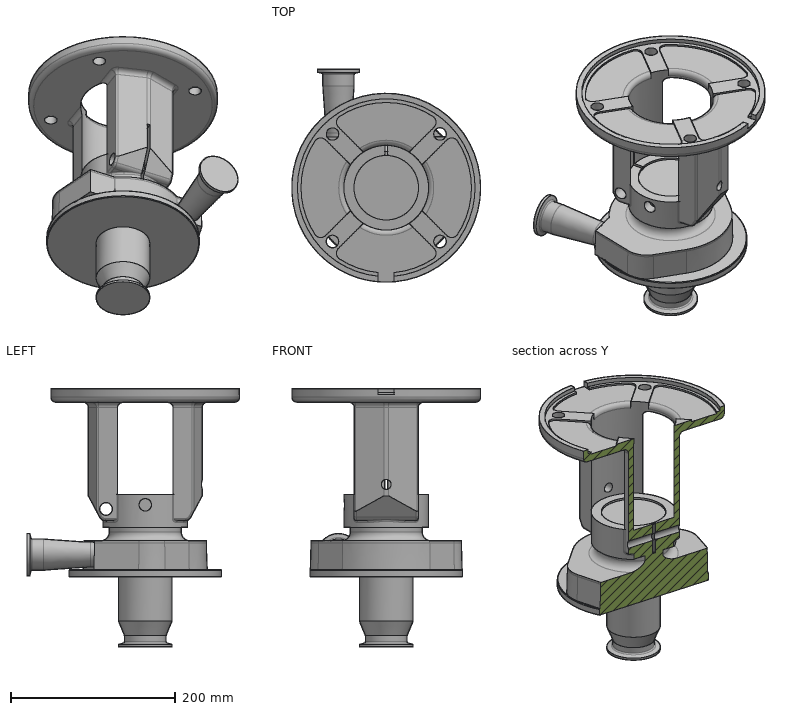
import cadquery as cq
import math

MARGIN = 0.15

TOTAL_HEIGHT = 314.0
INLET_CONE_TOP = 31.0
INLET_CONE_BOTTOM = 13.5
BACKPLATE_BOTTOM = 84.8
VOLUTE_BOTTOM = 94.0
VOLUTE_TOP = 129.0
COLLAR_BOTTOM = 145.5
LEG_BOTTOM = 153.5
COLLAR_TOP = 185.3
FLANGE_THICKNESS = 16.5
FLANGE_BOTTOM = TOTAL_HEIGHT - FLANGE_THICKNESS

FLANGE_RADIUS = 115.0
FLANGE_EDGE_ROUND = 6.3
BORE_RADIUS = 51.5
LIP_INNER_RADIUS = 108.0
LIP_HEIGHT = 5.0
POCKET_DEPTH = 2.2
POCKET_OUTER_RADIUS = 103.5
POCKET_CORNER_RADIUS = 8.5
POCKET_BORE_ROUND = 6.3
SPOKE_WIDTH = 22.0
BOLT_HOLE_RADIUS = 7.5
BOLT_CIRCLE_RADIUS = 92.3
SPOKE_ANGLES = (45, 135, 225, 315)
NOTCH_WIDTH = 19.5
NOTCH_LENGTH = 15.7

LEG_HALF_WIDTH = 39.0
LEG_SHOULDER_Y = 58.7
LEG_RIDGE_Y = 69.5
LEG_RIDGE_WIDTH = 5.3
LEG_BEVEL_TOP = 183.7
LEG_BEVEL_BOTTOM_Y = 53.5
LEG_EDGE_ROUND = 2.5
LEG_TOE_ROUND = 8.0
LEG_FLANGE_FILLET = 6.3
LEG_COLLAR_FILLET = 2.5

PLUG_RADIUS = 39.2
PLUG_RECESS = 2.5
SLIT_WIDTH = 3.5
SLIT_TOP = 219.8
CLAMP_HOLE_RADIUS = 7.5
CLAMP_HOLE_Y = 47.7
CLAMP_HOLE_Z = 167.7
COLLAR_HOLE_Z = 172.7
LEG_HOLE_RADIUS = 6.0
LEG_HOLE_Z = 197.5

BACKPLATE_RADIUS = 93.0
BACKPLATE_EDGE_CHAMFER = 1.0
VOLUTE_RADIUS = 75.7
VOLUTE_DRAFT = 1.5
VOLUTE_RIM = 2.5
DIAGONAL_LENGTH = 41.5
LOBE_RADIUS = 33.0
LOBE_SIDE_TILT = 15.6
VOLUTE_BACK_Y = 62.5
CASING_NECK_RADIUS = 44.0
CASING_NECK_FILLET = 10.5

FERRULE_ROOT_ROUND = 1.5
INLET_RADIUS = 32.5
INLET_SMALL_RADIUS = 25.5
INLET_RIM_RADIUS = 32.5
INLET_RIM = 2.8
INLET_FERRULE_LENGTH = 6.3
OUTLET_X = -58.0
OUTLET_Z = 112.0
OUTLET_END_Y = 144.0
OUTLET_RADIUS = 19.0
OUTLET_SMALL_RADIUS = 15.0
OUTLET_RIM_RADIUS = 25.7
OUTLET_RIM = 3.8
OUTLET_FERRULE_LENGTH = 6.5
OUTLET_STRAIGHT_LENGTH = 20.5
OUTLET_CONE_LENGTH = 57.0
OUTLET_ROOT_Y = 37.7


def cylinder(radius, bottom, top):
    return cq.Workplane("XY").workplane(offset=bottom).circle(radius).extrude(top - bottom)


def cross_hole(plane, radius, across, height, start, length):
    """Horizontal hole that starts at a given offset of the plane."""
    return cq.Workplane(plane).workplane(offset=start).center(across, height).circle(radius).extrude(length)


def make_leg():
    """Front leg: ridged outer side, beveled foot, still solid inside the bore."""
    half_ridge = LEG_RIDGE_WIDTH / 2
    leg = (
        cq.Workplane("XY").workplane(offset=LEG_BOTTOM)
        .polyline([
            (-LEG_HALF_WIDTH, 0), (-LEG_HALF_WIDTH, -LEG_SHOULDER_Y), (-half_ridge, -LEG_RIDGE_Y),
            (half_ridge, -LEG_RIDGE_Y), (LEG_HALF_WIDTH, -LEG_SHOULDER_Y), (LEG_HALF_WIDTH, 0),
        ])
        .close()
        .extrude(FLANGE_BOTTOM - LEG_BOTTOM)
    )
    bevel = (
        cq.Workplane("YZ")
        .polyline([
            (-LEG_RIDGE_Y, LEG_BEVEL_TOP), (-LEG_BEVEL_BOTTOM_Y, LEG_BOTTOM), (-LEG_RIDGE_Y, LEG_BOTTOM),
        ])
        .close()
        .extrude(LEG_HALF_WIDTH, both=True)
    )
    leg = leg.cut(bevel)
    toe_zone = cq.selectors.BoxSelector(
        (-MARGIN, -LEG_BEVEL_BOTTOM_Y - MARGIN, LEG_BOTTOM - MARGIN),
        (MARGIN, -LEG_BEVEL_BOTTOM_Y + MARGIN, LEG_BOTTOM + MARGIN),
    )
    leg = leg.edges("|X").edges(toe_zone).fillet(LEG_TOE_ROUND)
    for side in ("<X", ">X"):
        leg = leg.faces(side).edges("not(>Y or >Z)").fillet(LEG_EDGE_ROUND)
    return leg


def make_pockets():
    """Four shallow pockets between the spokes, rounded over into the bore."""
    land = TOTAL_HEIGHT - LIP_HEIGHT
    floor = land - POCKET_DEPTH
    round_start = BORE_RADIUS + POCKET_BORE_ROUND
    ring = cylinder(POCKET_OUTER_RADIUS, floor, land).cut(cylinder(BORE_RADIUS, floor, land))
    roundover = (
        cq.Workplane("XZ")
        .moveTo(round_start, floor)
        .lineTo(BORE_RADIUS, floor)
        .lineTo(BORE_RADIUS, floor - POCKET_BORE_ROUND)
        .radiusArc((round_start, floor), POCKET_BORE_ROUND)
        .close()
        .revolve(360, (0, 0, 0), (0, 1, 0))
    )
    spokes = cq.Workplane("XY")
    for angle in SPOKE_ANGLES[:2]:
        spoke = (
            cq.Workplane("XY").workplane(offset=FLANGE_BOTTOM)
            .rect(2 * FLANGE_RADIUS, SPOKE_WIDTH)
            .extrude(FLANGE_THICKNESS)
            .rotate((0, 0, 0), (0, 0, 1), angle)
        )
        spokes = spokes.add(spoke)
    spokes = spokes.combine()
    middle_radius = (BORE_RADIUS + POCKET_OUTER_RADIUS) / 2
    pockets = ring.cut(spokes)
    corner_edges = [
        edge for edge in pockets.edges("|Z").vals()
        if math.hypot(edge.Center().x, edge.Center().y) > middle_radius
    ]
    pockets = pockets.newObject(corner_edges).fillet(POCKET_CORNER_RADIUS)
    return pockets.union(roundover.cut(spokes))


def is_collar_joint(edge):
    """True for an edge that lies on the collar's outer wall where a leg meets it."""
    height = edge.Center().z
    if not LEG_BOTTOM - MARGIN < height < COLLAR_TOP - MARGIN:
        return False
    points = edge.positions([0, 0.25, 0.5, 0.75, 1])
    on_wall = all(abs(math.hypot(point.x, point.y) - BORE_RADIUS) < MARGIN for point in points)
    return on_wall and all(abs(point.x) < LEG_HALF_WIDTH + MARGIN for point in points)


def make_adapter():
    """Top flange, two legs and the clamp collar that joins them."""
    land = TOTAL_HEIGHT - LIP_HEIGHT
    flange = cylinder(FLANGE_RADIUS, FLANGE_BOTTOM, TOTAL_HEIGHT)
    flange = flange.faces("<Z").edges().fillet(FLANGE_EDGE_ROUND)
    front_leg = make_leg()
    legs = front_leg.union(front_leg.mirror("XZ"))
    legs = legs.cut(cylinder(BORE_RADIUS, LEG_BOTTOM, FLANGE_BOTTOM))
    adapter = flange.cut(cylinder(BORE_RADIUS, FLANGE_BOTTOM, TOTAL_HEIGHT)).union(legs)

    junction = cq.selectors.BoxSelector(
        (-LEG_HALF_WIDTH - MARGIN, -LEG_RIDGE_Y - MARGIN, FLANGE_BOTTOM - MARGIN),
        (LEG_HALF_WIDTH + MARGIN, LEG_RIDGE_Y + MARGIN, FLANGE_BOTTOM + MARGIN),
    )
    adapter = adapter.edges(junction).edges("not %CIRCLE").fillet(LEG_FLANGE_FILLET)
    adapter = adapter.union(cylinder(BORE_RADIUS, COLLAR_BOTTOM, COLLAR_TOP))
    collar_joints = [edge for edge in adapter.edges().vals() if is_collar_joint(edge)]
    adapter = adapter.newObject(collar_joints).fillet(LEG_COLLAR_FILLET)

    adapter = adapter.cut(cylinder(LIP_INNER_RADIUS, land, TOTAL_HEIGHT)).cut(make_pockets())
    notch = cq.Workplane("XY").box(
        NOTCH_WIDTH, NOTCH_LENGTH, LIP_HEIGHT + POCKET_DEPTH, centered=(True, False, False)
    )
    adapter = adapter.cut(notch.translate((0, -FLANGE_RADIUS, land - POCKET_DEPTH)))
    bolt_holes = (
        cq.Workplane("XY").workplane(offset=FLANGE_BOTTOM)
        .polarArray(BOLT_CIRCLE_RADIUS, SPOKE_ANGLES[0], 360, len(SPOKE_ANGLES))
        .circle(BOLT_HOLE_RADIUS)
        .extrude(FLANGE_THICKNESS)
    )
    return adapter.cut(bolt_holes)


def make_clamp_cuts():
    """Collar recess, slit through the rear leg and the horizontal holes."""
    cuts = cylinder(PLUG_RADIUS, COLLAR_TOP - PLUG_RECESS, COLLAR_TOP)
    slit = cq.Workplane("XY").box(
        SLIT_WIDTH, LEG_RIDGE_Y - PLUG_RADIUS, SLIT_TOP - COLLAR_BOTTOM, centered=(True, False, False)
    )
    cuts = cuts.union(slit.translate((0, PLUG_RADIUS, COLLAR_BOTTOM)))
    cuts = cuts.union(cross_hole(
        "YZ", CLAMP_HOLE_RADIUS, CLAMP_HOLE_Y, CLAMP_HOLE_Z, -LEG_HALF_WIDTH, 2 * LEG_HALF_WIDTH
    ))
    cuts = cuts.union(cross_hole(
        "YZ", CLAMP_HOLE_RADIUS, 0, COLLAR_HOLE_Z, -BORE_RADIUS, BORE_RADIUS - PLUG_RADIUS
    ))
    return cuts.union(cross_hole("XZ", LEG_HOLE_RADIUS, 0, LEG_HOLE_Z, 0, LEG_RIDGE_Y))


def make_volute():
    """Round casing with a lobe on each side, drafted inward toward the top."""
    diagonal = math.sqrt(0.5)
    tilt = math.radians(LOBE_SIDE_TILT)
    tangent_x = VOLUTE_RADIUS * diagonal
    tangent_y = -tangent_x
    lobe_start_x = tangent_x + DIAGONAL_LENGTH * diagonal
    lobe_start_y = tangent_y + DIAGONAL_LENGTH * diagonal
    lobe_center_x = lobe_start_x - LOBE_RADIUS * diagonal
    lobe_center_y = lobe_start_y + LOBE_RADIUS * diagonal
    lobe_end_x = lobe_center_x + LOBE_RADIUS * math.cos(tilt)
    lobe_end_y = lobe_center_y + LOBE_RADIUS * math.sin(tilt)
    lobe_tip = (lobe_center_x + LOBE_RADIUS, lobe_center_y)
    corner_x = lobe_end_x - (VOLUTE_BACK_Y - lobe_end_y) * math.tan(tilt)
    flat_end_x = math.sqrt(VOLUTE_RADIUS**2 - VOLUTE_BACK_Y**2)
    outline = (
        cq.Workplane("XY").workplane(offset=VOLUTE_BOTTOM)
        .moveTo(-tangent_x, tangent_y)
        .threePointArc((0, -VOLUTE_RADIUS), (tangent_x, tangent_y))
        .lineTo(lobe_start_x, lobe_start_y)
        .threePointArc(lobe_tip, (lobe_end_x, lobe_end_y))
        .lineTo(corner_x, VOLUTE_BACK_Y)
        .lineTo(flat_end_x, VOLUTE_BACK_Y)
        .threePointArc((0, VOLUTE_RADIUS), (-flat_end_x, VOLUTE_BACK_Y))
        .lineTo(-corner_x, VOLUTE_BACK_Y)
        .lineTo(-lobe_end_x, lobe_end_y)
        .threePointArc((-lobe_tip[0], lobe_tip[1]), (-lobe_start_x, lobe_start_y))
        .close()
    )
    volute = outline.extrude(VOLUTE_TOP - VOLUTE_RIM - VOLUTE_BOTTOM, taper=VOLUTE_DRAFT)
    return volute.faces(">Z").wires().toPending().extrude(VOLUTE_RIM)


def make_casing_neck():
    """Neck that flares into the casing top."""
    base_radius = CASING_NECK_RADIUS + CASING_NECK_FILLET
    return (
        cq.Workplane("XZ")
        .moveTo(0, VOLUTE_TOP)
        .lineTo(base_radius, VOLUTE_TOP)
        .radiusArc((CASING_NECK_RADIUS, VOLUTE_TOP + CASING_NECK_FILLET), CASING_NECK_FILLET)
        .lineTo(CASING_NECK_RADIUS, COLLAR_BOTTOM)
        .lineTo(0, COLLAR_BOTTOM)
        .close()
        .revolve(360, (0, 0, 0), (0, 1, 0))
    )


def ferrule_pipe(rim_radius, rim, ferrule_length, stations):
    """Pipe along Z that starts with a ferrule and then follows (radius, height) stations."""
    pipe_radius = stations[0][0]
    root_start = (pipe_radius + FERRULE_ROOT_ROUND, ferrule_length - FERRULE_ROOT_ROUND)
    profile = (
        cq.Workplane("XZ")
        .polyline([(0, 0), (rim_radius, 0), (rim_radius, rim), root_start])
        .radiusArc((pipe_radius, ferrule_length), FERRULE_ROOT_ROUND)
    )
    for radius, height in stations:
        profile = profile.lineTo(radius, height)
    return profile.lineTo(0, stations[-1][1]).close().revolve(360, (0, 0, 0), (0, 1, 0))


def make_inlet():
    """Downward pipe with a cone and an end ferrule."""
    stations = [
        (INLET_SMALL_RADIUS, INLET_CONE_BOTTOM), (INLET_RADIUS, INLET_CONE_TOP),
        (INLET_RADIUS, BACKPLATE_BOTTOM),
    ]
    return ferrule_pipe(INLET_RIM_RADIUS, INLET_RIM, INLET_FERRULE_LENGTH, stations)


def make_outlet():
    """Horizontal pipe toward +Y with a cone and an end ferrule."""
    cone_end = OUTLET_STRAIGHT_LENGTH + OUTLET_CONE_LENGTH
    stations = [
        (OUTLET_RADIUS, OUTLET_STRAIGHT_LENGTH), (OUTLET_SMALL_RADIUS, cone_end),
        (OUTLET_SMALL_RADIUS, OUTLET_END_Y - OUTLET_ROOT_Y),
    ]
    pipe = ferrule_pipe(OUTLET_RIM_RADIUS, OUTLET_RIM, OUTLET_FERRULE_LENGTH, stations)
    return pipe.rotate((0, 0, 0), (1, 0, 0), 90).translate((OUTLET_X, OUTLET_END_Y, OUTLET_Z))


backplate = cylinder(BACKPLATE_RADIUS, BACKPLATE_BOTTOM, VOLUTE_BOTTOM)
backplate = backplate.edges().chamfer(BACKPLATE_EDGE_CHAMFER)
casing = make_inlet().union(backplate).union(make_volute()).union(make_outlet()).union(make_casing_neck())
result = casing.union(make_adapter().cut(make_clamp_cuts()))